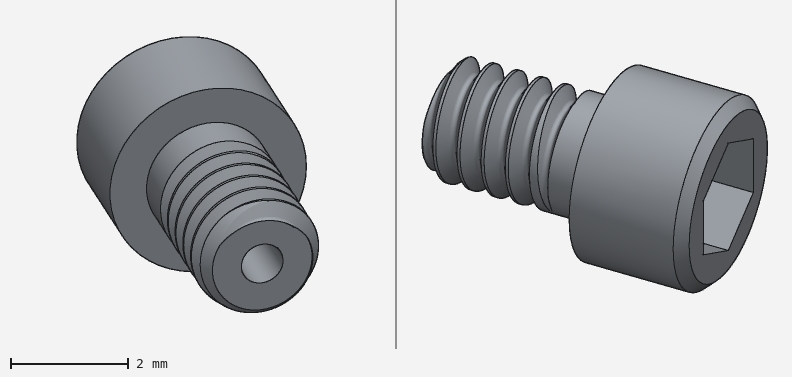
import cadquery as cq
import math

INCH = 25.4

head_diameter = 0.137 * INCH
head_height = 0.085 * INCH
head_chamfer = 0.008 * INCH
socket_across_flats = 1.965
socket_depth = 0.95
vent_diameter = 0.029 * INCH

shank_diameter = 0.086 * INCH
shank_length = INCH / 8
plain_shank_length = 0.028 * INCH
tip_chamfer = 0.21

pitch = INCH / 56
half_angle = math.radians(30)
flank_slope = math.tan(half_angle)
sharp_height = pitch / (2 * flank_slope)
thread_depth = 17 / 24 * sharp_height
root_rounding = sharp_height / 6
crest_width = pitch / 8
cutter_clearance = 0.02

shank_radius = shank_diameter / 2
total_length = head_height + shank_length
groove_width = pitch - crest_width
groove_start = head_height + plain_shank_length + groove_width / 2
groove_turns = math.ceil((total_length - groove_start + groove_width / 2) / pitch)

runout_angle = 90 - math.degrees(half_angle)
runout_length = (thread_depth + cutter_clearance) * flank_slope


def make_head():
    head = cq.Workplane("YZ").circle(head_diameter / 2).extrude(head_height)
    return head.faces("<X").chamfer(head_chamfer)


def make_shank():
    shank = cq.Workplane("YZ").workplane(offset=head_height).circle(shank_radius).extrude(shank_length)
    return shank.faces(">X").chamfer(tip_chamfer)


def make_socket():
    corner_diameter = socket_across_flats / math.cos(math.pi / 6)
    return cq.Workplane("YZ").transformed(rotate=(0, 0, 90)).polygon(6, corner_diameter).extrude(socket_depth)


def make_vent():
    return cq.Workplane("YZ").circle(vent_diameter / 2).extrude(total_length)


def helical_cutter(axis_direction, length, cone_angle=360):
    """Solid swept by the groove profile from the +Z side, advancing along axis_direction.

    A positive cone angle lifts the profile away from the axis as it advances.
    """
    bottom_radius = shank_radius - thread_depth
    outer_radius = shank_radius + cutter_clearance
    outer_half = groove_width / 2 + cutter_clearance * flank_slope
    tangent_half = root_rounding * math.cos(half_angle)
    tangent_radius = bottom_radius + root_rounding * (1 - math.sin(half_angle))
    profile = (
        cq.Workplane("XZ")
        .moveTo(outer_radius, -outer_half)
        .lineTo(tangent_radius, -tangent_half)
        .threePointArc((bottom_radius, 0), (tangent_radius, tangent_half))
        .lineTo(outer_radius, outer_half)
        .close()
    )
    slant = 1 / math.cos(math.radians(cone_angle))
    helix = cq.Wire.makeHelix(pitch * slant, length * slant, bottom_radius, angle=cone_angle)
    cutter = profile.sweep(helix, isFrenet=True).val()
    frame = cq.Plane(origin=(groove_start, 0, 0), xDir=(0, 0, 1), normal=axis_direction)
    return cq.Workplane(cutter.moved(cq.Location(frame)))


def make_threaded_shank():
    threaded = make_shank().cut(helical_cutter((-1, 0, 0), runout_length, runout_angle))
    one_turn = helical_cutter((1, 0, 0), pitch)
    for turn in range(groove_turns):
        threaded = threaded.cut(one_turn.translate((turn * pitch, 0, 0)))
    return threaded


result = make_head().union(make_threaded_shank()).cut(make_socket()).cut(make_vent())